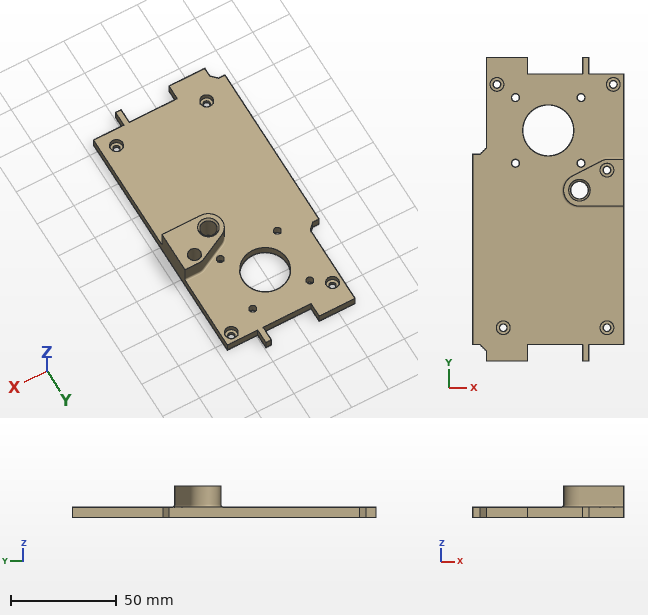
import cadquery as cq
import math

body_width = 71.5
body_length = 128.0
overall_length = 143.63
plate_thickness = 5.0
tab_reach = (overall_length - body_length) / 2

edge_step = 6.5
shoulder_top = 90.0
corner_chamfer = 3.0
wide_tab_right = 26.0
narrow_tab_left = 52.0
narrow_tab_width = 3.0

motor_x = body_width / 2
motor_y = 101.25
motor_bore = 24.0
motor_screw_pitch = 31.0
motor_screw_diameter = 3.6

screw_diameter = 3.5
counterbore_diameter = 6.5
counterbore_floor = 2.0
upper_screw_inset = 5.0
lower_screw_inset = 8.0

boss_top = 15.0
nose_x = 50.5
nose_y = 73.0
nose_radius = 7.5
boss_screw_x = body_width - lower_screw_inset
boss_screw_y = 82.5
boss_screw_radius = 5.0
boss_fillet = 1.0
selection_margin = 0.1
shaft_bore = 8.2
shaft_bore_chamfer = 1.0


def make_plate():
    """Plate outline, counter-clockwise, with two tabs at each end."""
    bottom = -tab_reach
    top = body_length + tab_reach
    narrow_tab_right = narrow_tab_left + narrow_tab_width
    ledge_end = edge_step - corner_chamfer
    outline = [
        (0, 0),
        (ledge_end, 0),
        (edge_step, -corner_chamfer),
        (edge_step, bottom),
        (wide_tab_right, bottom),
        (wide_tab_right, 0),
        (narrow_tab_left, 0),
        (narrow_tab_left, bottom),
        (narrow_tab_right, bottom),
        (narrow_tab_right, 0),
        (body_width, 0),
        (body_width, body_length),
        (narrow_tab_right, body_length),
        (narrow_tab_right, top),
        (narrow_tab_left, top),
        (narrow_tab_left, body_length),
        (wide_tab_right, body_length),
        (wide_tab_right, top),
        (edge_step, top),
        (edge_step, shoulder_top + corner_chamfer),
        (ledge_end, shoulder_top),
        (0, shoulder_top),
    ]
    return cq.Workplane("XY").polyline(outline).close().extrude(plate_thickness)


def polar_point(x, y, radius, angle):
    return (x + radius * math.cos(angle), y + radius * math.sin(angle))


def cylinder(x, y, diameter, bottom, top):
    """Upright cylinder used as a cutter."""
    return cq.Workplane("XY", origin=(x, y, bottom)).circle(diameter / 2).extrude(top - bottom)


def make_boss():
    """Prism of the boss outline from the underside up, ending flush at the plate's right edge."""
    run = boss_screw_x - nose_x
    rise = boss_screw_y - nose_y
    normal = math.atan2(rise, run) + math.acos((nose_radius - boss_screw_radius) / math.hypot(run, rise))

    def on_nose(angle):
        return polar_point(nose_x, nose_y, nose_radius, angle)

    def on_small(angle):
        return polar_point(boss_screw_x, boss_screw_y, boss_screw_radius, angle)

    upward = math.pi / 2
    downward = 3 * math.pi / 2
    return (
        cq.Workplane("XY")
        .moveTo(body_width, nose_y - nose_radius)
        .lineTo(body_width, boss_screw_y + boss_screw_radius)
        .lineTo(*on_small(upward))
        .threePointArc(on_small((upward + normal) / 2), on_small(normal))
        .lineTo(*on_nose(normal))
        .threePointArc(on_nose((normal + downward) / 2), on_nose(downward))
        .close()
        .extrude(boss_top)
    )


def add_boss(plate):
    """Stand the boss on the plate and fillet its foot, except along the flush right edge."""
    boss = make_boss()
    reach = boss_fillet + selection_margin
    foot = cq.selectors.BoxSelector(
        (nose_x - nose_radius - reach, nose_y - nose_radius - reach, plate_thickness - selection_margin),
        (
            body_width - selection_margin,
            boss_screw_y + boss_screw_radius + reach,
            plate_thickness + selection_margin,
        ),
    )
    return plate.union(boss).edges(foot).fillet(boss_fillet)


def cut_motor_mount(part):
    """Central motor opening with a through hole at each corner of a square around it."""
    part = part.cut(cylinder(motor_x, motor_y, motor_bore, 0, plate_thickness))
    half_pitch = motor_screw_pitch / 2
    for x in (motor_x - half_pitch, motor_x + half_pitch):
        for y in (motor_y - half_pitch, motor_y + half_pitch):
            part = part.cut(cylinder(x, y, motor_screw_diameter, 0, plate_thickness))
    return part


def cut_counterbored_hole(part, x, y, face_height):
    hole = cylinder(x, y, screw_diameter, 0, face_height)
    recess = cylinder(x, y, counterbore_diameter, counterbore_floor, face_height)
    return part.cut(hole).cut(recess)


def cut_screw_holes(part):
    """One screw near each corner of the plate and one through the boss."""
    upper_y = body_length - upper_screw_inset
    plate_screws = [
        (edge_step + upper_screw_inset, upper_y),
        (body_width - upper_screw_inset, upper_y),
        (edge_step + lower_screw_inset, lower_screw_inset),
        (body_width - lower_screw_inset, lower_screw_inset),
    ]
    for x, y in plate_screws:
        part = cut_counterbored_hole(part, x, y, plate_thickness)
    return cut_counterbored_hole(part, boss_screw_x, boss_screw_y, boss_top)


def cut_shaft_bore(part):
    """Through bore with a chamfered mouth at the boss top."""
    radius = shaft_bore / 2
    bore = cylinder(nose_x, nose_y, shaft_bore, 0, boss_top)
    mouth = cq.Solid.makeCone(
        radius,
        radius + shaft_bore_chamfer,
        shaft_bore_chamfer,
        cq.Vector(nose_x, nose_y, boss_top - shaft_bore_chamfer),
    )
    return part.cut(bore).cut(cq.Workplane(mouth))


result = make_plate()
result = add_boss(result)
result = cut_motor_mount(result)
result = cut_screw_holes(result)
result = cut_shaft_bore(result)